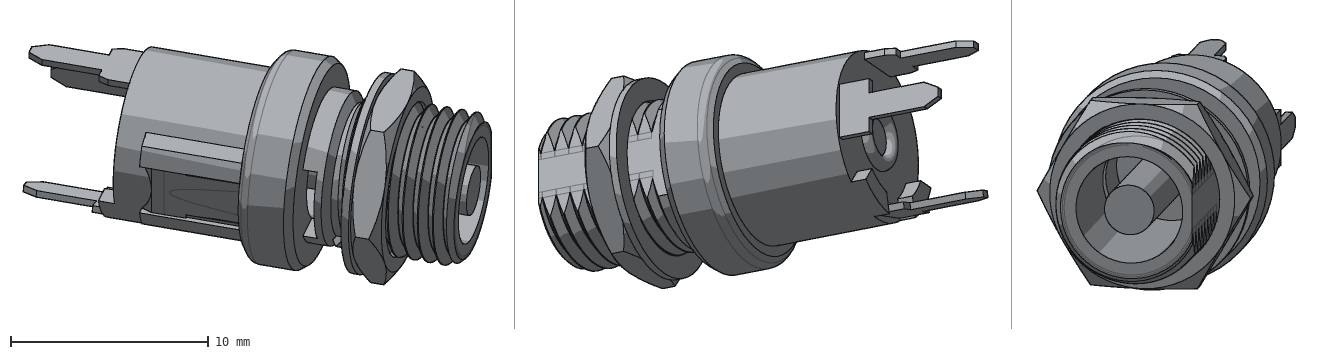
import cadquery as cq
import math


housing_radius = 4.45
housing_rear = -9.71
flange_rear = -2.96

flange_radius = 5.51
flange_rear_edge_radius = 4.98
flange_rear_chamfer_length = 0.22
flange_rear_chamfer_radius = 5.27
flange_rear_round = 0.49
flange_front_chamfer_length = 0.42
flange_front_chamfer_depth = 0.3

neck_radius = 4.0
neck_length = 1.13
thread_crest_radius = 3.97
thread_root_radius = 3.46
thread_pitch = 0.794
thread_end = 8.0
thread_end_radius = 3.55
first_crest = 1.66
quarter_turn = 0.25
first_arc_turns = 1.5 * quarter_turn
thread_crest_width = 0.06
thread_foot_gap = 0.015
thread_arc_count = 9
thread_overlap = 0.1
neck_taper_length = 0.35
side_flat_y = 3.24

socket_radius = 2.75
socket_floor = flange_rear
pin_radius = 1.28

neck_window_length = 0.75
neck_window_half_height = 2.07

bead_radius = 1.38
bead_tube_radius = 0.41

terminal_tip = -15.37
terminal_taper_length = 0.8
terminal_shoulder = -11.41
terminal_blade_width = 1.34
terminal_tip_width = 0.5
terminal_inner_distance = 3.74
terminal_thickness = 0.36
terminal_root_width = 2.8
terminal_corner_length = 0.55
terminal_corner_depth = 0.2
terminal_embed = 0.5
side_terminal_root_width = 2.88
lower_terminal_angle = 15
lower_terminal_bend_radius = 0.38

guard_height = 0.85
guard_inner_radius = 3.41
guard_slot_width = 2.88
guard_top_z = -1.47
guard_end_angle = 50.5

pad_start = -8.26
pad_outer_radius = 4.87
pad_half_height = 2.78
pad_edge_half_height = 2.43
latch_half_height = 1.44
latch_land_start = -7.68
latch_land_end = -7.03
latch_land_y = -4.455
latch_end_y = -4.386
relief_start = -5.86
relief_width = 0.2
relief_depth = 0.1

washer_start = 2.51
washer_thickness = 0.4
washer_radius = 5.17
hardware_bore_radius = neck_radius
nut_thickness = 1.62
nut_across_flats = 9.54
nut_chamfer_length = 0.46


def cylinder(start, length, radius):
    """Solid cylinder along the connector axis."""
    return cq.Workplane("YZ").workplane(offset=start).circle(radius).extrude(length)


def on_circle(radius, z):
    """Point (y, z) on the -Y half of a circle about the axis."""
    return (-math.sqrt(radius**2 - z**2), z)


def turn(shape, degrees):
    """Swing a shape about the connector axis, from +Z towards -Y."""
    return shape.rotate((0, 0, 0), (1, 0, 0), degrees)


def make_shell():
    """Turned body: housing, flange, neck, taper and thread core."""
    round_centre_r = flange_radius - flange_rear_round
    chamfer_end = flange_rear + flange_rear_chamfer_length
    round_angle = math.acos((flange_rear_chamfer_radius - round_centre_r) / flange_rear_round)
    round_end = chamfer_end + flange_rear_round * math.sin(round_angle)
    round_middle = (
        round_end - flange_rear_round * math.sin(round_angle / 2),
        round_centre_r + flange_rear_round * math.cos(round_angle / 2),
    )
    taper_end = neck_length + neck_taper_length
    return (
        cq.Workplane("XY")
        .moveTo(housing_rear, 0)
        .lineTo(housing_rear, housing_radius)
        .lineTo(flange_rear, housing_radius)
        .lineTo(flange_rear, flange_rear_edge_radius)
        .lineTo(chamfer_end, flange_rear_chamfer_radius)
        .threePointArc(round_middle, (round_end, flange_radius))
        .lineTo(-flange_front_chamfer_length, flange_radius)
        .lineTo(0, flange_radius - flange_front_chamfer_depth)
        .lineTo(0, neck_radius)
        .lineTo(neck_length, neck_radius)
        .lineTo(taper_end, thread_root_radius)
        .lineTo(thread_end, thread_root_radius)
        .lineTo(thread_end, 0)
        .close()
        .revolve(360, (0, 0, 0), (1, 0, 0))
    )


def make_end_trim():
    """Cutter that squares off the thread and chamfers its end at 45 degrees."""
    chamfer_start = thread_end - (flange_radius - thread_end_radius)
    return (
        cq.Workplane("XY")
        .polyline([
            (thread_end, 0),
            (thread_end, thread_end_radius),
            (chamfer_start, flange_radius),
            (thread_end + 2 * thread_pitch, flange_radius),
            (thread_end + 2 * thread_pitch, 0),
        ])
        .close()
        .revolve(360, (0, 0, 0), (1, 0, 0))
    )


def make_thread_arc(crest_x, turns):
    """Right-hand ridge ending on the flat side at +Y, after the given part of a turn.

    The crest passes the -Z side, a quarter turn before its end, at crest_x.
    """
    inner = thread_root_radius - thread_overlap
    half_crest = thread_crest_width / 2
    half_foot = thread_pitch / 2 - thread_foot_gap
    path = cq.Wire.makeHelix(thread_pitch, turns * thread_pitch, thread_root_radius)
    ridge = (
        cq.Workplane("XZ")
        .polyline([
            (inner, -half_foot),
            (thread_root_radius, -half_foot),
            (thread_crest_radius, -half_crest),
            (thread_crest_radius, half_crest),
            (thread_root_radius, half_foot),
            (inner, half_foot),
        ])
        .close()
        .sweep(cq.Workplane(obj=path), isFrenet=True)
        .rotate((0, 0, 0), (0, 1, 0), 90)
    )
    lead = turns - quarter_turn
    ridge = turn(ridge, -360 * lead)
    ridge = ridge.translate((crest_x - lead * thread_pitch, 0, 0))
    return ridge.cut(make_side_flat(), clean=False).cut(make_end_trim(), clean=False)


def make_side_flat():
    """Cutter for the flat along the +Y side of the neck and thread."""
    return cq.Workplane("XY").box(
        thread_end, flange_radius, 2 * flange_radius, centered=(False, False, True)
    ).translate((0, side_flat_y, 0))


def make_socket():
    """Cutter for the ring-shaped space around the centre pin."""
    depth = thread_end - socket_floor
    return cylinder(socket_floor, depth, socket_radius).cut(
        cylinder(socket_floor, depth, pin_radius)
    )


def make_neck_window():
    """Cutter through the neck wall on the -Y side, stopping short of the centre pin."""
    height = 2 * neck_window_half_height
    box = cq.Workplane("XY").box(
        neck_window_length, flange_radius, height, centered=(False, False, True)
    ).translate((0, -flange_radius, 0))
    return box.cut(cylinder(0, neck_window_length, pin_radius))


def make_bead():
    """Rolled ring on the rear face around the centre contact."""
    return (
        cq.Workplane("XY")
        .center(housing_rear, bead_radius)
        .circle(bead_tube_radius)
        .revolve(360, (0, -bead_radius, 0), (1, -bead_radius, 0))
    )


def make_terminal(root_width, corner_length=0.0, corner_depth=0.0):
    """Flat terminal above the axis, lying in a plane of constant Z."""
    root = root_width / 2
    blade = terminal_blade_width / 2
    tip = terminal_tip_width / 2
    half = [
        (terminal_tip, tip),
        (terminal_tip + terminal_taper_length, blade),
        (terminal_shoulder, blade),
        (terminal_shoulder, root - corner_depth),
    ]
    if corner_length:
        half.append((terminal_shoulder + corner_length, root))
    half.append((housing_rear + terminal_embed, root))
    mirrored = [(x, -y) for x, y in reversed(half)]
    return (
        cq.Workplane("XY")
        .workplane(offset=terminal_inner_distance)
        .polyline(half + mirrored)
        .close()
        .extrude(terminal_thickness)
    )


def make_lower_terminal():
    """Terminal with a concave bend where it leaves the rear face."""
    r = lower_terminal_bend_radius
    arc_offset = r * (1 - math.sqrt(0.5))
    bend = (
        cq.Workplane("XZ")
        .moveTo(housing_rear, terminal_inner_distance)
        .lineTo(housing_rear - r, terminal_inner_distance)
        .threePointArc(
            (housing_rear - arc_offset, terminal_inner_distance - arc_offset),
            (housing_rear, terminal_inner_distance - r),
        )
        .close()
        .extrude(terminal_root_width / 2, both=True)
    )
    return make_terminal(terminal_root_width).union(bend)


def make_guards():
    """Two arc walls on the rear face, one each side of the lower terminal."""
    start = housing_rear - guard_height
    ring = cylinder(start, guard_height, housing_radius).cut(
        cylinder(start, guard_height, guard_inner_radius)
    )
    reach = 2 * housing_radius
    end = math.radians(guard_end_angle)
    sector = (
        cq.Workplane("YZ")
        .workplane(offset=start)
        .polyline([
            (0, guard_top_z),
            (-reach, guard_top_z),
            (-reach, -reach),
            (reach * math.cos(end), -reach * math.sin(end)),
            (-guard_top_z / math.tan(end), guard_top_z),
        ])
        .close()
        .extrude(guard_height)
    )
    slot = cq.Workplane("XY").box(
        guard_height, guard_slot_width, reach, centered=(False, True, False)
    ).translate((start, 0, 0))
    return ring.intersect(sector).cut(turn(slot, 180 - lower_terminal_angle))


def make_pad_rib():
    """Upper rib of the latch pad, with a curved outer face and a sloping upper side."""
    middle_z = (latch_half_height + pad_edge_half_height) / 2
    root_y = on_circle(housing_radius, pad_half_height)[0]
    return (
        cq.Workplane("YZ")
        .workplane(offset=pad_start)
        .moveTo(root_y, pad_half_height)
        .lineTo(*on_circle(pad_outer_radius, pad_edge_half_height))
        .threePointArc(
            on_circle(pad_outer_radius, middle_z),
            on_circle(pad_outer_radius, latch_half_height),
        )
        .lineTo(root_y, latch_half_height)
        .close()
        .extrude(flange_rear - pad_start)
    )


def make_latch_face():
    """Flat latch face between the ribs: a ramp, a land and a slow fall to the flange."""
    ramp_start_y = on_circle(housing_radius, latch_half_height)[0]
    return (
        cq.Workplane("XY")
        .moveTo(pad_start, 0)
        .lineTo(pad_start, ramp_start_y)
        .lineTo(latch_land_start, latch_land_y)
        .lineTo(latch_land_end, latch_land_y)
        .lineTo(flange_rear, latch_end_y)
        .lineTo(flange_rear, 0)
        .close()
        .extrude(latch_half_height, both=True)
    )


def make_relief():
    """Shallow groove cutter along the foot of the upper rib."""
    return cq.Workplane("XY").box(
        flange_rear - relief_start, flange_radius, relief_width, centered=False
    ).translate((
        relief_start,
        latch_land_y + relief_depth - flange_radius,
        latch_half_height - relief_width,
    ))


def make_jack():
    """Complete connector body with its terminals."""
    shell = make_shell().cut(make_socket()).cut(make_neck_window())
    shell = shell.union(make_bead()).union(make_guards())
    shell = shell.union(make_latch_face())
    relief = make_relief()
    shell = shell.cut(relief).cut(relief.mirror("XY"))
    rib = make_pad_rib()
    shell = shell.union(rib).union(rib.mirror("XY"))
    top = make_terminal(terminal_root_width, terminal_corner_length, terminal_corner_depth)
    shell = shell.union(top)
    shell = shell.union(turn(make_terminal(side_terminal_root_width), -90))
    shell = shell.union(turn(make_lower_terminal(), 180 - lower_terminal_angle))
    body = shell.cut(make_side_flat())
    body = body.union(make_thread_arc(first_crest, first_arc_turns), clean=False)
    for index in range(1, thread_arc_count + 1):
        arc = make_thread_arc(first_crest + index * thread_pitch, 1)
        body = body.union(arc, clean=False)
    return body


def make_washer():
    """Plain flat washer."""
    washer = cylinder(washer_start, washer_thickness, washer_radius)
    return washer.cut(cylinder(washer_start, washer_thickness, hardware_bore_radius))


def make_nut():
    """Hexagon nut with corners on the Y axis, chamfered on both faces."""
    start = washer_start + washer_thickness
    end = start + nut_thickness
    corner_radius = nut_across_flats / math.sqrt(3)
    face_radius = nut_across_flats / 2
    hexagon = (
        cq.Workplane("YZ")
        .workplane(offset=start)
        .polygon(6, 2 * corner_radius)
        .circle(hardware_bore_radius)
        .extrude(nut_thickness)
    )
    envelope = (
        cq.Workplane("XY")
        .polyline([
            (start, 0),
            (start, face_radius),
            (start + nut_chamfer_length, corner_radius),
            (end - nut_chamfer_length, corner_radius),
            (end, face_radius),
            (end, 0),
        ])
        .close()
        .revolve(360, (0, 0, 0), (1, 0, 0))
    )
    return hexagon.intersect(envelope)


jack = make_jack()
washer = make_washer()
nut = make_nut()

result = cq.Compound.makeCompound([jack.val(), washer.val(), nut.val()])